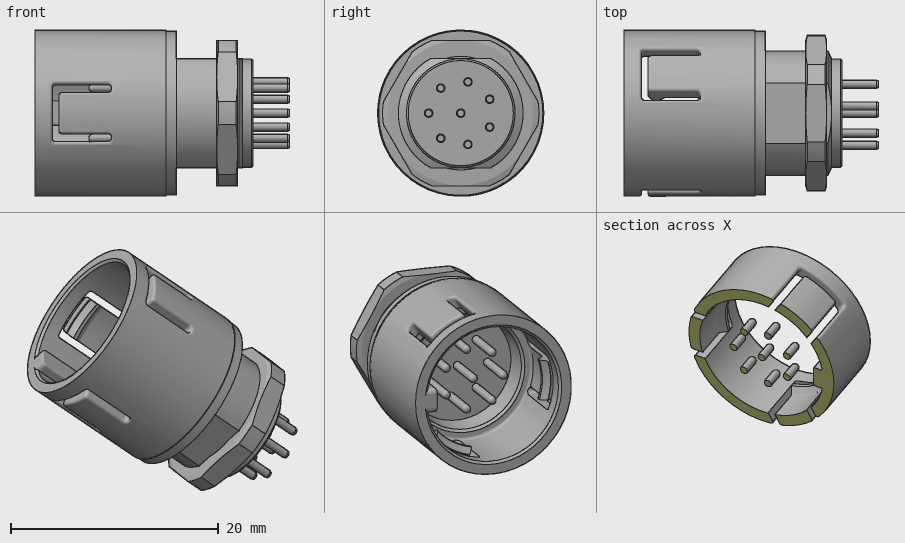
import cadquery as cq
import math

BARREL_END = 12.6
SHOULDER_END = 13.6
NUT_START = 17.5
NUT_LENGTH = 2.0
THREAD_CONE_START = 19.62
THREAD_END = 20.0
REAR_END = 21.0
PIN_REAR = 24.5
PIN_FRONT = 5.2

BARREL_DIAMETER = 16.0
SHOULDER_DIAMETER = 15.8
THREAD_DIAMETER = 12
THREAD_FLATS = 10.5
REAR_DIAMETER = 10.45
REAR_CHAMFER = 0.17

MOUTH_DIAMETER = 14.01
MOUTH_CHAMFER = 0.25
BORE_DIAMETER = MOUTH_DIAMETER - 2 * MOUTH_CHAMFER
WALL_MIDDLE_RADIUS = (BARREL_DIAMETER + BORE_DIAMETER) / 4
BORE_DEPTH = 7.5
STEP_DIAMETER = 12
RING_DIAMETER = 11.5
RING_DEPTH = BORE_DEPTH + (STEP_DIAMETER - RING_DIAMETER) / 2
INSERT_DIAMETER = 11.0
INSERT_DEPTH = 10.0
BORE_FLOOR_RADIUS = 0.3

FINGER_ANGLES = (60, 180, 300)
FINGER_WIDTH = 4.0
FINGER_TIP = 2.3
FINGER_CORNER_RADIUS = 0.3
SLOT_START = 1.7
SLOT_WIDTH = 0.74
SLOT_END = 7.37
SLOT_CORNER_RADIUS = 0.3
SLOT_EDGE_RADIUS = 0.27
SLOT_END_RADIUS = 0.365
HOOK_DIAMETER = 12.25
HOOK_START = 2.4
HOOK_CREST_START = 2.95
HOOK_CREST_END = 3.3
HOOK_BACK_ANGLE = math.radians(45)
HOOK_ROOT_RADIUS = 0.25

KEY_WIDTH = 2.35
KEY_INNER = 5.7
KEY_FRONT_RADIUS = 0.51
KEY_EDGE_RADIUS = 0.2

PIN_DIAMETER = 0.8
PIN_CIRCLE_RADIUS = 3.09
CIRCLE_PIN_COUNT = 7
PIN_CHAMFER_LENGTH = 0.22
PIN_CHAMFER_DEPTH = 0.07

NUT_SIDES = 6
NUT_FLATS = 14.0
NUT_CORNER_DIAMETER = 15.05
NUT_CHAMFER_LENGTH = 0.15
NUT_CHAMFER_DEPTH = (NUT_CORNER_DIAMETER - NUT_FLATS) / 2
NUT_BORE_DIAMETER = 10.93


def revolve_about_x(points):
    """Solid of revolution about X from an outline of (x, radius) points."""
    return cq.Workplane("XY").polyline(points).close().revolve(360, (0, 0, 0), (1, 0, 0))


def turn(shape, angle):
    """Shape rotated about the connector axis."""
    return shape.rotate((0, 0, 0), (1, 0, 0), angle)


def disc(x_start, x_end, diameter):
    """Cylinder along X."""
    return cq.Workplane("YZ", origin=(x_start, 0, 0)).circle(diameter / 2).extrude(x_end - x_start)


def block(x_start, x_end, y_start, y_end, width_z):
    """Box centred on Z = 0."""
    size = (x_end - x_start, y_end - y_start, width_z)
    return cq.Workplane("XY", origin=(x_start, y_start, 0)).box(*size, centered=(False, False, True))


def outer_shape():
    """Connector without its bore: barrel, shoulder, flatted thread and rear spigot."""
    barrel = disc(0, BARREL_END, BARREL_DIAMETER)
    shoulder = disc(BARREL_END, SHOULDER_END, SHOULDER_DIAMETER)
    thread = revolve_about_x([
        (SHOULDER_END, 0),
        (SHOULDER_END, THREAD_DIAMETER / 2),
        (THREAD_CONE_START, THREAD_DIAMETER / 2),
        (THREAD_END, REAR_DIAMETER / 2),
        (THREAD_END, 0),
    ])
    flats = cq.Workplane("XY").box(2 * PIN_REAR, THREAD_DIAMETER, THREAD_FLATS)
    rear = disc(THREAD_END, REAR_END, REAR_DIAMETER).faces(">X").chamfer(REAR_CHAMFER)
    return barrel.union(shoulder).union(thread.intersect(flats)).union(rear)


def barrel_bore():
    """Cavity with a chamfered mouth, a rounded floor step and a tapered recess down to the insert face."""
    diagonal = BORE_FLOOR_RADIUS * math.sqrt(0.5)
    arc_centre = (BORE_DEPTH - BORE_FLOOR_RADIUS, BORE_DIAMETER / 2 - BORE_FLOOR_RADIUS)
    outline = (
        cq.Workplane("XY")
        .moveTo(0, 0)
        .lineTo(0, MOUTH_DIAMETER / 2)
        .lineTo(MOUTH_CHAMFER, BORE_DIAMETER / 2)
        .lineTo(arc_centre[0], BORE_DIAMETER / 2)
        .threePointArc((arc_centre[0] + diagonal, arc_centre[1] + diagonal), (BORE_DEPTH, arc_centre[1]))
        .lineTo(BORE_DEPTH, STEP_DIAMETER / 2)
        .lineTo(RING_DEPTH, RING_DIAMETER / 2)
        .lineTo(INSERT_DEPTH, INSERT_DIAMETER / 2)
        .lineTo(INSERT_DEPTH, 0)
        .close()
    )
    return outline.revolve(360, (0, 0, 0), (1, 0, 0))


def finger_block(x_end):
    """Radial block around +Y that bounds the tip and sides of a finger."""
    finger = block(FINGER_TIP, x_end, 0, BARREL_DIAMETER / 2, FINGER_WIDTH)
    return finger.edges("|Y and <X").fillet(FINGER_CORNER_RADIUS)


def finger_hook():
    """Ridge inside the tip of a finger, pointing along +Y."""
    bore_radius = BORE_DIAMETER / 2
    crest_radius = HOOK_DIAMETER / 2
    slope_end_radius = bore_radius - HOOK_ROOT_RADIUS * (1 - math.cos(HOOK_BACK_ANGLE))
    slope_end = HOOK_CREST_END + (slope_end_radius - crest_radius) / math.tan(HOOK_BACK_ANGLE)
    hook_end = slope_end + HOOK_ROOT_RADIUS * math.sin(HOOK_BACK_ANGLE)
    ridge = (
        cq.Workplane("XY")
        .moveTo(HOOK_START, WALL_MIDDLE_RADIUS)
        .lineTo(HOOK_START, bore_radius)
        .lineTo(HOOK_CREST_START, crest_radius)
        .lineTo(HOOK_CREST_END, crest_radius)
        .lineTo(slope_end, slope_end_radius)
        .tangentArcPoint((hook_end, bore_radius), relative=False)
        .lineTo(hook_end, WALL_MIDDLE_RADIUS)
        .close()
        .revolve(360, (0, 0, 0), (1, 0, 0))
    )
    return ridge.intersect(finger_block(hook_end))


def finger_slot():
    """U-shaped slot around a finger that points along +Y."""
    outer = block(SLOT_START, SLOT_END, 0, BARREL_DIAMETER / 2, FINGER_WIDTH + 2 * SLOT_WIDTH)
    outer = outer.edges("|Y and <X").fillet(SLOT_CORNER_RADIUS)
    slot = outer.cut(finger_block(SLOT_END))
    return slot.edges("|Y and >X").fillet(SLOT_END_RADIUS)


def polarising_key():
    """Bar on the +Y side of the bore."""
    key = block(0, BORE_DEPTH, KEY_INNER, WALL_MIDDLE_RADIUS, KEY_WIDTH)
    key = key.edges("|Y and <X").fillet(KEY_FRONT_RADIUS)
    return key.faces("<Y").edges("not >X").fillet(KEY_EDGE_RADIUS)


def pin():
    """Contact pin along X with a domed front and a tapered rear."""
    radius = PIN_DIAMETER / 2
    shank = disc(PIN_FRONT + radius, PIN_REAR, PIN_DIAMETER)
    shank = shank.faces(">X").chamfer(PIN_CHAMFER_LENGTH, PIN_CHAMFER_DEPTH)
    dome = cq.Workplane("XY", origin=(PIN_FRONT + radius, 0, 0)).sphere(radius)
    return shank.union(dome)


def is_on_barrel_surface(edge):
    """True for an edge whose middle lies on the outer surface of the barrel."""
    middle = edge.positionAt(0.5)
    return math.isclose(math.hypot(middle.y, middle.z), BARREL_DIAMETER / 2, abs_tol=0.002)


def make_connector():
    """One solid: housing with latch fingers and key, and the contact pins moulded in."""
    body = outer_shape().cut(barrel_bore())
    for angle in FINGER_ANGLES:
        body = body.cut(turn(finger_slot(), angle))
    slot_region = cq.selectors.BoxSelector(
        (SLOT_START / 2, -BARREL_DIAMETER, -BARREL_DIAMETER),
        (BARREL_END - SLOT_START / 2, BARREL_DIAMETER, BARREL_DIAMETER),
        boundingbox=True,
    )
    body = body.edges(slot_region).filter(is_on_barrel_surface).fillet(SLOT_EDGE_RADIUS)
    for angle in FINGER_ANGLES:
        body = body.union(turn(finger_hook(), angle))
    body = body.union(polarising_key()).union(pin())
    for index in range(CIRCLE_PIN_COUNT):
        angle = 360 * index / CIRCLE_PIN_COUNT
        circle_pin = pin().translate((0, -PIN_CIRCLE_RADIUS, 0))
        body = body.union(turn(circle_pin, angle))
    return body


def make_nut():
    """Hexagon nut whose bore is cleared to fit the flatted thread."""
    flats_plane = cq.Workplane("YZ", origin=(NUT_START, 0, 0))
    hexagon = flats_plane.polygon(NUT_SIDES, NUT_FLATS / math.cos(math.pi / NUT_SIDES)).extrude(NUT_LENGTH)
    corner_round = disc(NUT_START, NUT_START + NUT_LENGTH, NUT_CORNER_DIAMETER)
    corner_round = corner_round.edges().chamfer(NUT_CHAMFER_LENGTH, NUT_CHAMFER_DEPTH)
    bore = disc(NUT_START, NUT_START + NUT_LENGTH, NUT_BORE_DIAMETER)
    return hexagon.intersect(corner_round).cut(bore).cut(outer_shape())


connector = make_connector()
nut = make_nut()

result = cq.Compound.makeCompound([connector.val(), nut.val()])